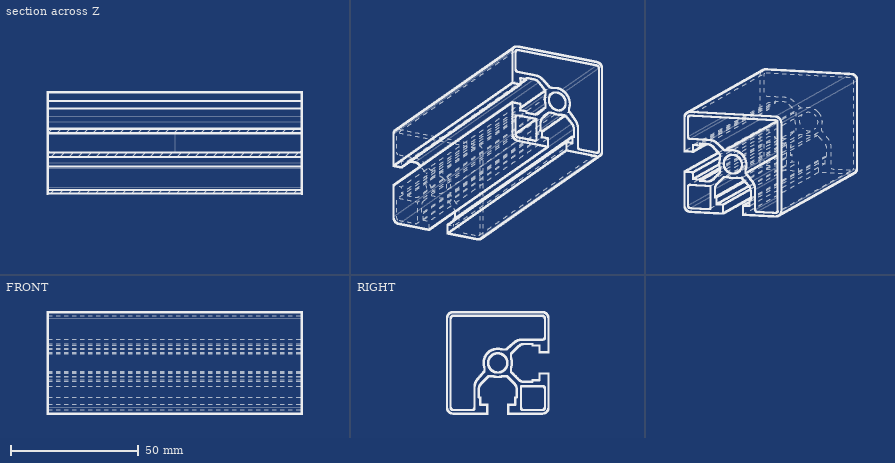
import cadquery as cq
import math

length = 100.0
side = 40.0
half = side / 2
corner_radius = 2.5
wall = 1.5
inner_radius = corner_radius - wall
small_radius = 0.8

mouth_half = 4.1
lip_depth = 3.6
step_half = 6.8
step_depth = 6.4
chamber_half = 7.4
floor_half = 3.6
slot_round = 3.0

core_half = 5.3
boss_radius = 5.6
bore_diameter = 7.5

web_half = 9.2
web_foot = 3.3
web_shoulder = 7.8
web_round = 5.0

inside = half - wall
taper_start = core_half + chamber_half - floor_half


def mirror_point(point):
    """Reflect a (Y, Z) point across the profile's line of symmetry, Y = -Z."""
    return (-point[1], -point[0])


def prism(wire):
    """Extrude a closed YZ outline over the full bar length."""
    return wire.extrude(length / 2, both=True)


def round_edges(body, points, radius):
    """Round the lengthwise edges that pass through the given (Y, Z) points."""
    edges = []
    for y, z in points:
        edges.append(body.edges("|X").edges(cq.NearestToPointSelector((0, y, z))).val())
    return body.newObject(edges).fillet(radius)


def slot():
    """T-slot opening on the +Y face, with a tapered bottom."""
    upper = [
        (half, mouth_half),
        (half - lip_depth, mouth_half),
        (half - lip_depth, step_half),
        (half - step_depth, step_half),
        (half - step_depth, chamber_half),
        (taper_start, chamber_half),
        (core_half, floor_half),
    ]
    lower = [(y, -z) for y, z in reversed(upper)]
    body = prism(cq.Workplane("YZ").polyline(upper + lower).close())
    shoulders = [(taper_start, chamber_half), (taper_start, -chamber_half)]
    return round_edges(body, shoulders, slot_round)


def main_cavity():
    """L-shaped chamber that wraps around the boss and both slots."""
    boss_start = (math.sqrt(boss_radius**2 - core_half**2), core_half)
    boss_middle = (-boss_radius / math.sqrt(2), boss_radius / math.sqrt(2))
    shoulder = (web_shoulder, web_half)
    web_end = (inside, web_half)
    foot = (web_foot, core_half)
    end_corner = (inside, inside)
    far_corner = (-inside, inside)
    outline = (
        cq.Workplane("YZ")
        .polyline([far_corner, end_corner, web_end, shoulder, foot, boss_start])
        .threePointArc(boss_middle, mirror_point(boss_start))
    )
    for point in (foot, shoulder, web_end, end_corner):
        outline = outline.lineTo(*mirror_point(point))
    body = prism(outline.close())
    body = round_edges(body, [far_corner, end_corner, mirror_point(end_corner)], inner_radius)
    body = round_edges(body, [web_end, mirror_point(web_end)], small_radius)
    return round_edges(body, [shoulder, mirror_point(shoulder)], web_round)


def corner_cavity():
    """Square chamber between the two slots, sharp only at its innermost corner."""
    size = inside - web_half
    middle = (inside + web_half) / 2
    body = prism(cq.Workplane("YZ").center(middle, -middle).rect(size, size))
    body = round_edges(body, [(inside, -inside)], inner_radius)
    side_corners = [(inside, -web_half), (web_half, -inside)]
    return round_edges(body, side_corners, small_radius)


bar = cq.Workplane("YZ").rect(side, side)
bar = prism(bar).edges("|X").fillet(corner_radius)

side_slot = slot()
bottom_slot = side_slot.rotate((0, 0, 0), (1, 0, 0), -90)
bar = bar.cut(side_slot).cut(bottom_slot)

boss = prism(cq.Workplane("YZ").circle(boss_radius))
bore = prism(cq.Workplane("YZ").circle(bore_diameter / 2))
bar = bar.cut(main_cavity()).cut(corner_cavity())
result = bar.union(boss).cut(bore)